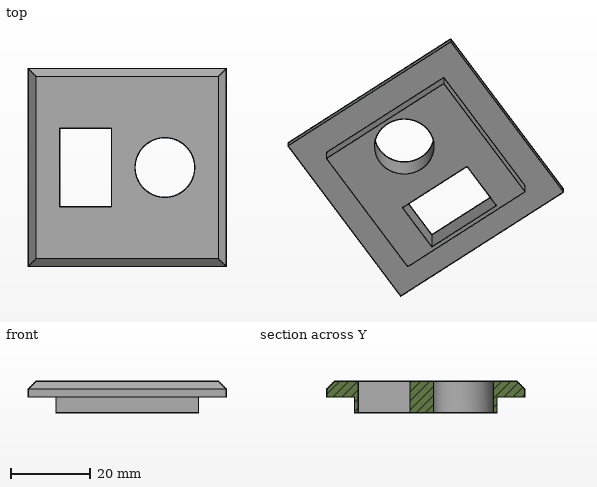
import cadquery as cq

plate_side = 50
plate_thickness = 4
bevel = plate_thickness / 2

block_side = 36
block_height = 4

window_width = 13
window_length = 19.8
window_x = -10.5
hole_diameter = 15
hole_x = 9.5

plate = (
    cq.Workplane("XY")
    .rect(plate_side, plate_side)
    .extrude(plate_thickness)
    .faces(">Z")
    .chamfer(bevel)
)
block = cq.Workplane("XY").rect(block_side, block_side).extrude(-block_height)
body = plate.union(block)

total_height = plate_thickness + block_height
opening_base = cq.Workplane("XY").workplane(offset=-block_height)
window = opening_base.center(window_x, 0).rect(window_width, window_length).extrude(total_height)
hole = opening_base.center(hole_x, 0).circle(hole_diameter / 2).extrude(total_height)

result = body.cut(window).cut(hole)